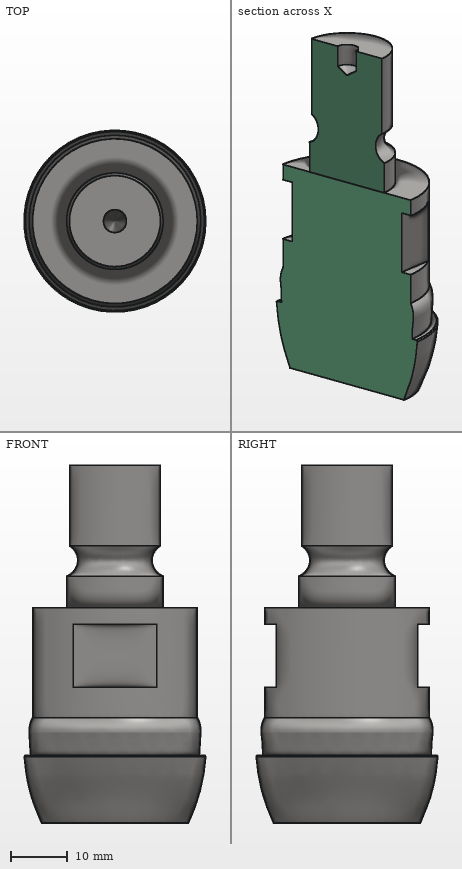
import cadquery as cq
import math

total_height = 62.95
body_height = 37.9

base_radius = 12.9
foot_bulge_radius = 15.05
foot_bulge_height = 5.9
lip_radius = 16.0
lip_bottom_height = 11.7
lip_chamfer = 0.25
collar_bottom_height = lip_bottom_height + lip_chamfer
collar_bottom_radius = 14.85
collar_radius = 15.1
collar_shoulder_height = 15.9
collar_top_height = 18.6
body_radius = 14.5
shoulder_bulge_radius = 15.0
shoulder_bulge_height = 17.3
flat_distance = 12.45
flat_bottom_height = 23.9
flat_top_height = 34.95

seat_radius = 8.5
seat_top_height = 43.45
waist_radius = 6.55
waist_height = 46.2
stem_radius = 8.0
groove_top_height = 48.8
center_hole_radius = 2.0
center_hole_depth = 3.8
drill_point_angle = 118.0


def make_body():
    """Turned body, with opposite flats on its -Y and +Y sides."""
    body = (
        cq.Workplane("XZ")
        .lineTo(base_radius, 0)
        .threePointArc((foot_bulge_radius, foot_bulge_height), (lip_radius, lip_bottom_height))
        .lineTo(lip_radius - lip_chamfer, collar_bottom_height)
        .lineTo(collar_bottom_radius, collar_bottom_height)
        .lineTo(collar_radius, collar_shoulder_height)
        .threePointArc((shoulder_bulge_radius, shoulder_bulge_height), (body_radius, collar_top_height))
        .lineTo(body_radius, body_height)
        .lineTo(0, body_height)
        .close()
        .revolve(360, (0, 0, 0), (0, 1, 0))
    )
    flat_cutter_depth = body_radius
    for side in (-1, 1):
        flat_cutter = cq.Workplane("XY").box(
            2 * body_radius,
            flat_cutter_depth,
            flat_top_height - flat_bottom_height,
            centered=(True, True, False),
        )
        cutter_center_y = side * (flat_distance + flat_cutter_depth / 2)
        body = body.cut(flat_cutter.translate((0, cutter_center_y, flat_bottom_height)))
    return body


def make_stem():
    """Turned stem standing on the body, with a drilled hole in its upper end."""
    hole_floor_height = total_height - center_hole_depth
    drill_point_depth = center_hole_radius / math.tan(math.radians(drill_point_angle / 2))
    return (
        cq.Workplane("XZ")
        .moveTo(0, body_height)
        .lineTo(seat_radius, body_height)
        .lineTo(seat_radius, seat_top_height)
        .threePointArc((waist_radius, waist_height), (stem_radius, groove_top_height))
        .lineTo(stem_radius, total_height)
        .lineTo(center_hole_radius, total_height)
        .lineTo(center_hole_radius, hole_floor_height)
        .lineTo(0, hole_floor_height - drill_point_depth)
        .close()
        .revolve(360, (0, 0, 0), (0, 1, 0))
    )


body = make_body()
stem = make_stem()
result = cq.Compound.makeCompound([body.val(), stem.val()])